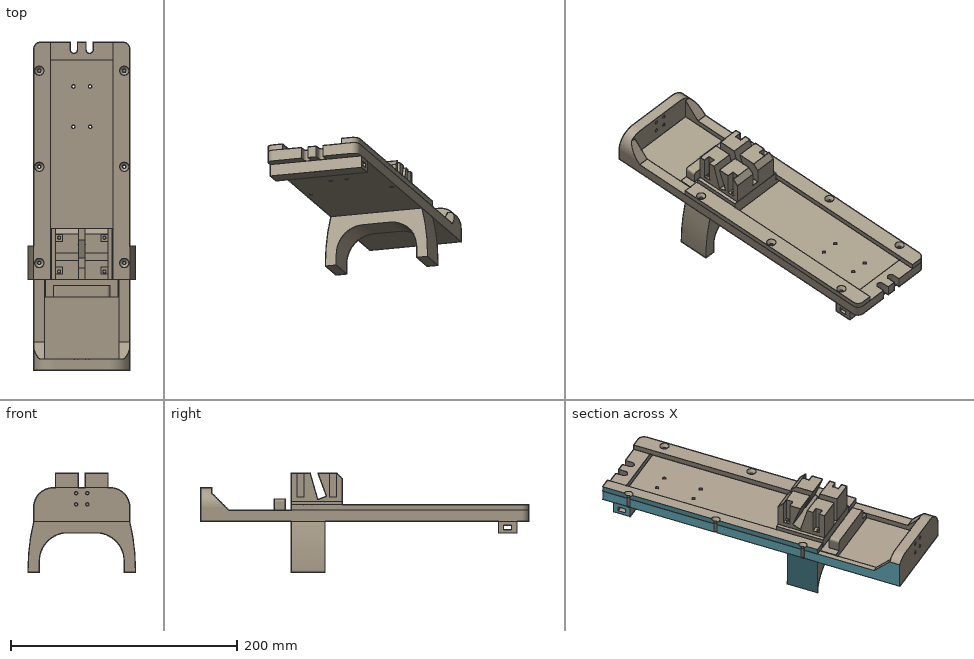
import cadquery as cq
import math


length = 290.0
width = 85.0
base_height = 10.0
floor_height = 5.0
pocket_width = 65.5
pocket_back = 274.0
back_corner_radius = 6.0
wall_height = 30.0
wall_thickness = 10.0
wall_corner_radius = 17.5
gusset_leg = 15.0
wall_hole_pitch = 10.0
wall_hole_top_offset = 5.0
floor_hole_pitch_x = 14.8
floor_hole_pitch_y = 35.7
floor_hole_back = 250.8
notch_width = 6.0
notch_depth = 10.0
notch_pitch = 14.0

small_hole = 2.8
screw_head = 8.0
screw_cone_angle = 90
screw_pitch_x = 75.0
screw_pitch_y = 85.0
screw_back_inset = 25.2
screw_rows = 3

rail_thickness = 5.0
channel_width = 54.8
rail_front = 80.0

slider_width = 63.8
slider_thickness = 4.5
slider_front = 65.0
bar_width = 50.0
bar_depth = 10.0
bar_top = 20.0
bar_edge_radius = 2.5
carriage_width = 53.0
carriage_top = 17.7

cradle_length = 45.2
cradle_width = 46.5
cradle_top = 42.5
cradle_chamfer = 5.0
channel_slot = 6.0
corner_notch = 6.0
corner_notch_floor = 21.8
corner_notch_pitch_y = 28.7
cradle_hole_pitch_x = 40.0
cradle_hole_pitch_y = 30.0
cradle_hole_front = 7.2
slot_top_front = 16.8
slot_top_back = 23.5
slot_floor_front = 23.5
slot_floor_back = 31.0
slot_floor_angle = 21
ramp_foot = 19.0
ramp_crest = 35.0

recess_start = 10.5
recess_depth = 3.0

foot_width = 95.0
foot_length = 30.0
foot_height = 45.0
foot_lip = 2.5
arch_span = 74.8
arch_web = 10.2
arch_radius = 25.0

lug_back = 279.5
lug_length = 16.5
lug_height = 10.5
strap_slot_length = 7.0
strap_slot_height = 3.8
strap_slot_back = 5.0
strap_slot_top = 3.5

rail_top = base_height + rail_thickness
slider_top = floor_height + slider_thickness
cradle_front = rail_front
cradle_back = cradle_front + cradle_length


def ramp_height(distance):
    """Height of the slot floor and the bridge ramp at a distance from the cradle front."""
    return carriage_top + (distance - ramp_foot) * math.tan(math.radians(slot_floor_angle))


def block(size_x, y_min, y_max, z_min, z_max, x_mid=0.0):
    """Box centred on x_mid in X, between the given Y and Z limits."""
    box = cq.Workplane("XY").box(size_x, y_max - y_min, z_max - z_min, centered=(True, False, False))
    return box.translate((x_mid, y_min, z_min))


def side_prism(points, size_x):
    """Outline of (y, z) points extruded to size_x, centred on X = 0."""
    return cq.Workplane("YZ").polyline(points).close().extrude(size_x / 2, both=True)


def drill(points, diameter, z_min, z_max):
    """Vertical cylinders at the given (x, y) points."""
    start = cq.Workplane("XY").workplane(offset=z_min)
    return start.pushPoints(points).circle(diameter / 2).extrude(z_max - z_min)


screw_rows_y = [length - screw_back_inset - row * screw_pitch_y for row in range(screw_rows)]
screw_points = [(side * screw_pitch_x / 2, y) for side in (-1, 1) for y in screw_rows_y]


def round_back_corners(body):
    """Round the two outer vertical edges at the back end of the sled."""
    for side in (-1, 1):
        corner = cq.NearestToPointSelector((side * width / 2, length, base_height))
        body = body.edges("|Z").edges(corner).fillet(back_corner_radius)
    return body


def make_base():
    gusset_end = wall_thickness + gusset_leg
    profile = [
        (0, 0),
        (length, 0),
        (length, base_height),
        (gusset_end, base_height),
        (wall_thickness, base_height + gusset_leg),
        (wall_thickness, wall_height),
        (0, wall_height),
    ]
    base = side_prism(profile, width)

    base = base.intersect(
        block(width, 0, length, 0, wall_height).edges("|Y and >Z").fillet(wall_corner_radius)
    )
    base = round_back_corners(base)

    base = base.cut(block(pocket_width, wall_thickness, pocket_back, floor_height, wall_height))

    notch_end = length - notch_depth + notch_width / 2
    for side in (-1, 1):
        x = side * notch_pitch / 2
        base = base.cut(block(notch_width, notch_end, length, 0, base_height, x))
        base = base.cut(drill([(x, notch_end)], notch_width, 0, base_height))

    base = base.cut(drill(screw_points, small_hole, 0, base_height))
    floor_points = [
        (side * floor_hole_pitch_x / 2, floor_hole_back - row * floor_hole_pitch_y)
        for side in (-1, 1)
        for row in (0, 1)
    ]
    base = base.cut(drill(floor_points, small_hole, 0, floor_height))

    wall_points = [
        (side * wall_hole_pitch / 2, wall_height - wall_hole_top_offset - row * wall_hole_pitch)
        for side in (-1, 1)
        for row in (0, 1)
    ]
    wall_holes = cq.Workplane("XZ").pushPoints(wall_points).circle(small_hole / 2).extrude(-wall_thickness)
    return base.cut(wall_holes)


def make_rail(side):
    """Cover rail with countersunk screw holes; side is -1 (left) or 1 (right)."""
    rail = round_back_corners(block(width, rail_front, length, base_height, rail_top))
    rail_width = (width - channel_width) / 2
    rail_middle = side * (channel_width + rail_width) / 2
    rail = rail.intersect(block(rail_width, rail_front, length, base_height, rail_top, rail_middle))
    points = [(x, y) for x, y in screw_points if x * side > 0]
    top = rail.faces(">Z").workplane(origin=(0, 0, rail_top)).pushPoints(points)
    return top.cskHole(small_hole, screw_head, screw_cone_angle)


def make_slider():
    """Plate in the T-slot, with a push bar and a carriage that rises between the rails."""
    plate = block(slider_width, slider_front, cradle_back, floor_height, slider_top)
    bar = block(bar_width, slider_front, slider_front + bar_depth, slider_top, bar_top)
    bar = bar.edges("|Y and >Z").fillet(bar_edge_radius)
    carriage = block(carriage_width, cradle_front, cradle_back, slider_top, carriage_top)
    recess = block(
        channel_slot,
        cradle_front + recess_start,
        cradle_front + ramp_foot,
        carriage_top - recess_depth,
        carriage_top,
    )
    return plate.union(bar).union(carriage).cut(recess)


def make_cradle():
    cradle = block(cradle_width, cradle_front, cradle_back, carriage_top, cradle_top)
    cradle = cradle.edges(">Y and >Z").chamfer(cradle_chamfer)

    slot = [
        (cradle_front + slot_top_front, cradle_top),
        (cradle_front + slot_top_back, cradle_top),
        (cradle_front + slot_floor_back, ramp_height(slot_floor_back)),
        (cradle_front + slot_floor_front, ramp_height(slot_floor_front)),
    ]
    cradle = cradle.cut(side_prism(slot, cradle_width))

    bridge_top = ramp_height(ramp_crest)
    channel = [
        (cradle_front, carriage_top),
        (cradle_front + ramp_foot, carriage_top),
        (cradle_front + ramp_crest, bridge_top),
        (cradle_back, bridge_top),
        (cradle_back, cradle_top),
        (cradle_front, cradle_top),
    ]
    cradle = cradle.cut(side_prism(channel, channel_slot))

    notch_x = (cradle_width - corner_notch) / 2
    first_notch_y = cradle_front + (cradle_length - corner_notch_pitch_y - corner_notch) / 2
    for side in (-1, 1):
        for row in (0, 1):
            x = side * notch_x
            notch_start = first_notch_y + row * corner_notch_pitch_y
            notch_end = notch_start + corner_notch
            notch = block(corner_notch, notch_start, notch_end, corner_notch_floor, cradle_top, x)
            hole_x = side * cradle_hole_pitch_x / 2
            hole_y = cradle_front + cradle_hole_front + row * cradle_hole_pitch_y
            hole = drill([(hole_x, hole_y)], small_hole, carriage_top, corner_notch_floor)
            cradle = cradle.cut(notch).cut(hole)
    return cradle


def make_foot():
    """Arch whose flanks curve out from the base width and end upright."""
    lip_z = foot_lip - foot_height
    flare = (foot_width - width) / 2
    flank_height = -lip_z
    flank_radius = (flank_height**2 + flare**2) / (2 * flare)
    half_angle = math.asin(flank_height / flank_radius) / 2
    mid_x = foot_width / 2 - flank_radius * (1 - math.cos(half_angle))
    mid_z = lip_z + flank_radius * math.sin(half_angle)

    foot = (
        cq.Workplane("XZ")
        .moveTo(-width / 2, 0)
        .lineTo(width / 2, 0)
        .threePointArc((mid_x, mid_z), (foot_width / 2, lip_z))
        .lineTo(foot_width / 2, -foot_height)
        .lineTo(-foot_width / 2, -foot_height)
        .lineTo(-foot_width / 2, lip_z)
        .threePointArc((-mid_x, mid_z), (-width / 2, 0))
        .close()
        .extrude(-foot_length)
    )
    opening = block(arch_span, 0, foot_length, -foot_height, -arch_web)
    opening = opening.edges("|Y and >Z").fillet(arch_radius)
    return foot.cut(opening).translate((0, rail_front, 0))


def make_lug():
    """Bar across the underside with a strap slot running through it in X."""
    lug = block(width, lug_back - lug_length, lug_back, -lug_height, 0)
    slot_back = lug_back - strap_slot_back
    slot = block(
        width,
        slot_back - strap_slot_length,
        slot_back,
        -strap_slot_top - strap_slot_height,
        -strap_slot_top,
    )
    return lug.cut(slot)


base = make_base()
rails = [make_rail(side) for side in (-1, 1)]
slider = make_slider()
cradle = make_cradle()
foot = make_foot()
lug = make_lug()

result = cq.Compound.makeCompound(
    [base.val(), *[rail.val() for rail in rails], slider.val(), cradle.val(), foot.val(), lug.val()]
)